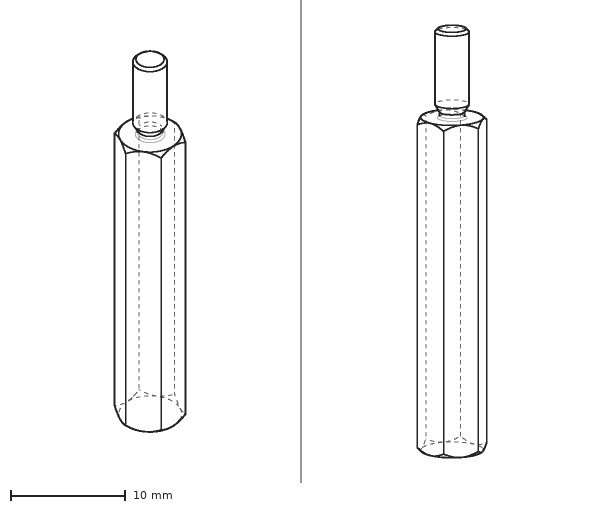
import cadquery as cq
import math

across_flats = 5.5
across_corners = across_flats / math.cos(math.pi / 6)
body_length = 30.0
body_face_diameter = 5.48

stud_length = 8.0
stud_diameter = 3.0
tip_diameter = 2.46

neck_diameter = 2.2
undercut_length = 1.2
neck_fillet = 0.2
undercut_angle = math.radians(30)


def hex_body():
    """Hexagonal bar with corners on the X axis, both ends turned to a 45 degree cone."""
    bar = cq.Workplane("XY").polygon(6, across_corners).extrude(body_length)
    corner_radius = across_corners / 2
    face_radius = body_face_diameter / 2
    chamfer = corner_radius - face_radius
    turned_envelope = (
        cq.Workplane("XZ")
        .moveTo(0, 0)
        .lineTo(face_radius, 0)
        .lineTo(corner_radius, chamfer)
        .lineTo(corner_radius, body_length - chamfer)
        .lineTo(face_radius, body_length)
        .lineTo(0, body_length)
        .close()
        .revolve(360, (0, 0, 0), (0, 1, 0))
    )
    return bar.intersect(turned_envelope)


def stud():
    """Stud with a chamfered tip, tapering down to the undercut neck at the body."""
    stud_radius = stud_diameter / 2
    neck_radius = neck_diameter / 2
    tip_radius = tip_diameter / 2
    stud_top = body_length + stud_length
    tip_chamfer = stud_radius - tip_radius
    cone_top = body_length + undercut_length
    cone_bottom = cone_top - (stud_radius - neck_radius) / math.tan(undercut_angle)
    return (
        cq.Workplane("XZ")
        .moveTo(0, body_length)
        .lineTo(neck_radius + neck_fillet, body_length)
        .radiusArc((neck_radius, body_length + neck_fillet), neck_fillet)
        .lineTo(neck_radius, cone_bottom)
        .lineTo(stud_radius, cone_top)
        .lineTo(stud_radius, stud_top - tip_chamfer)
        .lineTo(tip_radius, stud_top)
        .lineTo(0, stud_top)
        .close()
        .revolve(360, (0, 0, 0), (0, 1, 0))
    )


result = hex_body().union(stud())